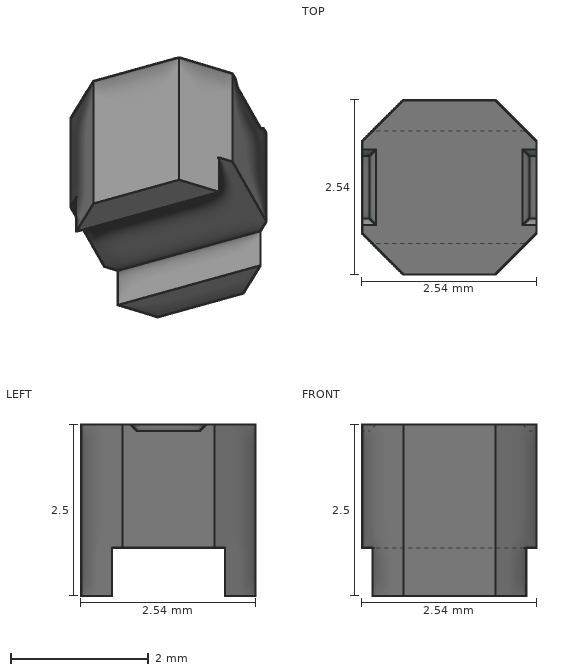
import cadquery as cq

width = 2.54
height = 2.5
corner_chamfer = 0.6

leg_height = 0.7
leg_depth = 0.45
slot_width = width - 2 * leg_depth

recess_length = 1.102
recess_reach = 0.203
recess_depth = 0.1


def make_body():
    """Octagonal prism standing on Z = 0."""
    return (
        cq.Workplane("XY")
        .rect(width, width)
        .extrude(height)
        .edges("|Z")
        .chamfer(corner_chamfer)
    )


def make_slot():
    """Slot through the bottom along X, leaving one leg on each Y side."""
    return cq.Workplane("XY").box(width, slot_width, leg_height, centered=(True, True, False))


def make_recess(side):
    """Tapered recess centred on the side face, so half of it lies outside the body."""
    return (
        cq.Workplane("XY")
        .workplane(offset=height)
        .center(side * width / 2, 0)
        .rect(2 * recess_reach, recess_length)
        .workplane(offset=-recess_depth)
        .rect(2 * (recess_reach - recess_depth), recess_length - 2 * recess_depth)
        .loft(ruled=True)
    )


result = make_body().cut(make_slot())
for side in (-1, 1):
    result = result.cut(make_recess(side))